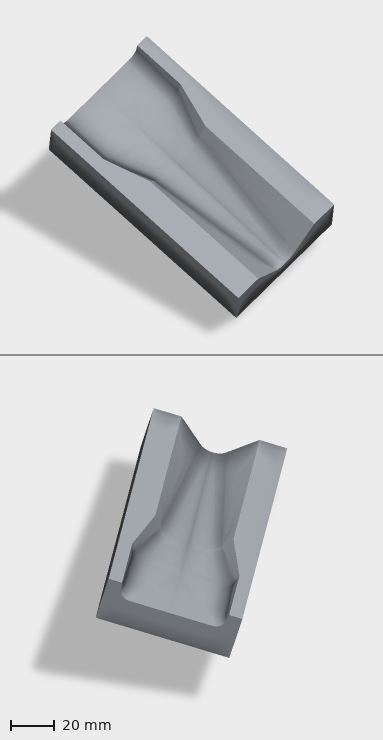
import cadquery as cq
import math

LENGTH = 117.4
WIDTH = 63.6
HEIGHT = 25.6
ROLL = 11.2
PITCH = 13.4
YAW = -26.5

WIDE_HALF = 25.5
NARROW_HALF = 18.6
WIDE_END = 0.23 * LENGTH
NARROW_START = 0.42 * LENGTH
OVERCUT = 1.4

STATIONS = [
    (0, WIDE_HALF, 24.4, 9.5, 0, 5.4),
    (WIDE_END, WIDE_HALF, 23.0, 9.5, 1.6, 5.4),
    (NARROW_START, NARROW_HALF, 13.5, 9.5, 3.3, 5.4),
    (LENGTH, NARROW_HALF, 3.8, 15.9, 0, 8.1),
]


def channel_section(distance, top_half, floor_half, depth, crease, radius):
    """Closed wire across the block: sloping walls joined to a creased floor by tangent arcs."""
    x = distance - LENGTH / 2
    top = HEIGHT / 2
    floor = top - depth
    wall_angle = math.atan2(depth, top_half - floor_half)
    floor_angle = math.atan2(crease, floor_half)
    half_turn = (wall_angle - floor_angle) / 2
    mean_angle = (wall_angle + floor_angle) / 2

    setback = radius * math.tan(half_turn)
    corner_gap = radius / math.cos(half_turn) - radius
    floor_y = floor_half - setback * math.cos(floor_angle)
    floor_z = floor - setback * math.sin(floor_angle)
    wall_y = floor_half + setback * math.cos(wall_angle)
    wall_z = floor + setback * math.sin(wall_angle)
    middle_y = floor_half - corner_gap * math.sin(mean_angle)
    middle_z = floor + corner_gap * math.cos(mean_angle)

    return (
        cq.Workplane("YZ", origin=(x, 0, 0))
        .moveTo(-top_half, top + OVERCUT)
        .lineTo(-top_half, top)
        .lineTo(-wall_y, wall_z)
        .threePointArc((-middle_y, middle_z), (-floor_y, floor_z))
        .lineTo(0, floor - crease)
        .lineTo(floor_y, floor_z)
        .threePointArc((middle_y, middle_z), (wall_y, wall_z))
        .lineTo(top_half, top)
        .lineTo(top_half, top + OVERCUT)
        .close()
        .val()
    )


def make_channel():
    """Straight blend through all the stations."""
    sections = [channel_section(*station) for station in STATIONS]
    return cq.Workplane(cq.Solid.makeLoft(sections, True))


block = cq.Workplane().box(LENGTH, WIDTH, HEIGHT)
grooved = block.cut(make_channel())

origin = (0, 0, 0)
result = (
    grooved
    .rotate(origin, (1, 0, 0), ROLL)
    .rotate(origin, (0, 1, 0), PITCH)
    .rotate(origin, (0, 0, 1), YAW)
)